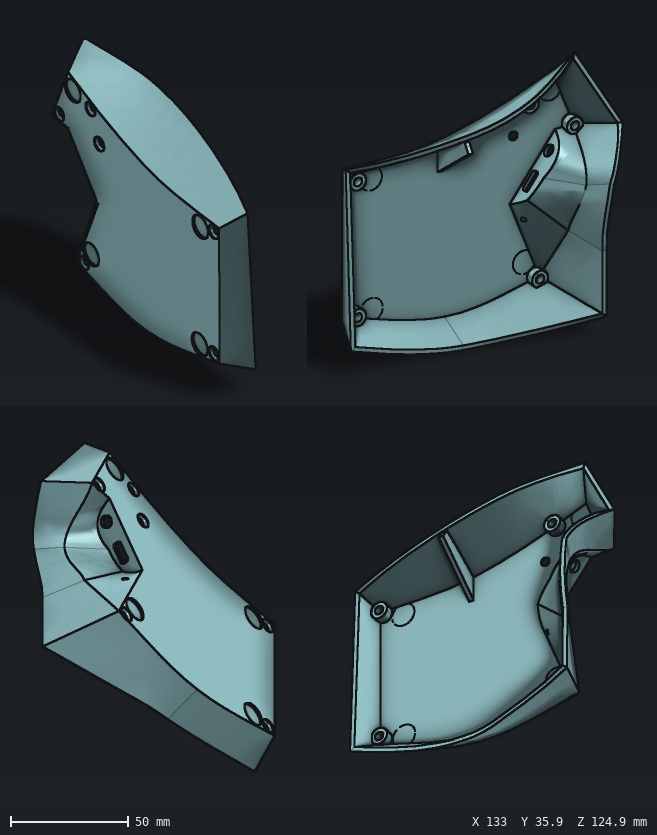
import cadquery as cq
import math


WALL = 2.3

BASE_TOP_LEFT = (22.7, 0, 113.4)
BASE_TOP_RIGHT = (127.9, 0, 90.1)
BASE_LOW_RIGHT = (128.2, 0, 19.5)
BASE_LOW_MIDDLE = (78.6, 0, 8.5)
BASE_LOW_LEFT = (28.6, 0, 17.4)
NOTCH_INNER_LOW = (43.6, 0, 55.7)
NOTCH_INNER_TOP = (22.6, 0, 83.9)
NOTCH_OUTER_TOP = (11.4, 0, 84.7)

RIM_TOP_LEFT = (19.1, 11.3, 124.8)
RIM_TOP_RIGHT = (133, 11.5, 95.8)
RIM_LOW_RIGHT = (133, 16, 12.2)
RIM_LOW_MIDDLE = (77.2, 15.8, 0)
RIM_LOW_LEFT = (15.8, 32.5, 8.2)
RIM_LEFT = (0, 19.1, 90.5)

BASE_TOP = [
    BASE_TOP_LEFT, (37.6, 0, 107.0), (47.6, 0, 103.0), (66.6, 0, 96.6), (86.0, 0, 92.1), (102.4, 0, 90.7),
    BASE_TOP_RIGHT,
]
BASE_RIGHT = [BASE_TOP_RIGHT, BASE_LOW_RIGHT]
BASE_LOW_R = [BASE_LOW_RIGHT, (109.5, 0, 14.2), (93.6, 0, 10.4), BASE_LOW_MIDDLE]
BASE_LOW_L = [BASE_LOW_MIDDLE, (68.6, 0, 8.6), (53.6, 0, 11.0), (40.5, 0, 14.4), BASE_LOW_LEFT]

NOTCH_LOW_SIDE = [BASE_LOW_LEFT, NOTCH_INNER_LOW]
NOTCH_PORT_SIDE = [NOTCH_INNER_LOW, NOTCH_INNER_TOP]
NOTCH_TOP_SIDE = [NOTCH_INNER_TOP, NOTCH_OUTER_TOP]
BASE_UPPER_LEFT = [NOTCH_OUTER_TOP, BASE_TOP_LEFT]

RIM_TOP = [RIM_TOP_LEFT, (31.6, 17.5, 119.9), (44.5, 23.0, 115.1), (67.5, 26.0, 108.0),
           (88.5, 23.9, 103.4), (109.5, 19.4, 99.5), RIM_TOP_RIGHT]
RIM_RIGHT = [RIM_TOP_RIGHT, RIM_LOW_RIGHT]
RIM_LOW_R = [RIM_LOW_RIGHT, (113.5, 15.0, 6.2), (92.5, 15.0, 1.5), RIM_LOW_MIDDLE]
RIM_LOW_L = [RIM_LOW_MIDDLE, (63.5, 17.7, 0.4), (53.6, 20.5, 1.6), (35.6, 25.8, 4.3), RIM_LOW_LEFT]
RIM_BAND_LOW = [RIM_LOW_LEFT, (15.7, 32.3, 39.2)]
RIM_BAND_MIDDLE = [RIM_BAND_LOW[-1], (15.4, 35.1, 60.2), (14.6, 35.8, 67.1), (14.1, 35.9, 71.1)]
RIM_BAND_TOP = [RIM_BAND_MIDDLE[-1], (11.3, 34.0, 76.2), (8.6, 31.1, 80.2), (4.7, 25.9, 85.2), RIM_LEFT]
RIM_UPPER_LEFT = [RIM_LEFT, RIM_TOP_LEFT]

RIDGE_LOW = [BASE_LOW_LEFT, (24.3, 16, 45.2)]
RIDGE_MIDDLE = [RIDGE_LOW[-1], (23.1, 19.7, 54.2), (21.8, 22.7, 61.2), (19.8, 23.4, 67.9)]
RIDGE_TOP = [RIDGE_MIDDLE[-1], (18.1, 19.8, 74.2), (16.1, 12.8, 78.7), NOTCH_OUTER_TOP]


def on_port_face(y, z):
    """Point of the flat port face, which stands square on the base."""
    along = (NOTCH_INNER_TOP[2] - z) / (NOTCH_INNER_TOP[2] - NOTCH_INNER_LOW[2])
    return (NOTCH_INNER_TOP[0] + along * (NOTCH_INNER_LOW[0] - NOTCH_INNER_TOP[0]), y, z)


PORT_EDGE_LOW = [NOTCH_INNER_LOW, on_port_face(4.7, 56.8), on_port_face(9.0, 59.3)]
PORT_EDGE_MIDDLE = [PORT_EDGE_LOW[-1], on_port_face(10.4, 63.8), on_port_face(10.8, 68.7)]
PORT_EDGE_TOP = [PORT_EDGE_MIDDLE[-1], on_port_face(10.6, 78.3), NOTCH_INNER_TOP]

BASE_LOOP = (BASE_TOP[:-1] + BASE_RIGHT[:-1] + BASE_LOW_R[:-1] + BASE_LOW_L
             + [NOTCH_INNER_LOW, NOTCH_INNER_TOP, NOTCH_OUTER_TOP])
RIM_LOOP = (RIM_TOP[:-1] + RIM_RIGHT[:-1] + RIM_LOW_R[:-1] + RIM_LOW_L[:-1] + RIM_BAND_LOW[:-1]
            + RIM_BAND_MIDDLE[:-1] + RIM_BAND_TOP)
RIDGE_LOOP = BASE_LOOP[:-3] + RIDGE_LOW[1:] + RIDGE_MIDDLE[1:] + RIDGE_TOP[1:]
PORT_LOOP = BASE_LOOP[:-2] + PORT_EDGE_LOW[1:] + PORT_EDGE_MIDDLE[1:] + PORT_EDGE_TOP[1:] + [NOTCH_OUTER_TOP]


def inset_map(loop, lift):
    """Map each point of a clockwise closed loop to its place on the inner side of the wall."""
    moved = {}
    for before, here, after in zip(loop[-1:] + loop[:-1], loop, loop[1:] + loop[:1]):
        normals = []
        for start, end in ((before, here), (here, after)):
            dx, dz = end[0] - start[0], end[2] - start[2]
            length = math.hypot(dx, dz)
            normals.append((dz / length, -dx / length))
        (ax, az), (bx, bz) = normals
        miter = WALL / (1 + ax * bx + az * bz)
        moved[here] = (here[0] + miter * (ax + bx), here[1] + lift, here[2] + miter * (az + bz))
    return moved


INNER = {**inset_map(PORT_LOOP, WALL), **inset_map(RIDGE_LOOP, WALL), **inset_map(BASE_LOOP, WALL),
         **inset_map(RIM_LOOP, 0)}


def inner(points):
    return [INNER[point] for point in points]


def outer(points):
    return points


def edge(points):
    vectors = [cq.Vector(*point) for point in points]
    if len(vectors) == 2:
        return cq.Edge.makeLine(*vectors)
    return cq.Edge.makeSpline(vectors)


def ruled(first, second):
    return cq.Face.makeRuledSurface(edge(first), edge(second))


def flat(stretches):
    return cq.Face.makeFromWires(cq.Wire.assembleEdges([edge(points) for points in stretches]))


def skin(place):
    """Faces of one side of the tray: walls, connector recess, port face and floor."""
    walls = [
        (BASE_TOP, RIM_TOP),
        (BASE_RIGHT, RIM_RIGHT),
        (BASE_LOW_R, RIM_LOW_R),
        (BASE_LOW_L, RIM_LOW_L),
        (BASE_UPPER_LEFT, RIM_UPPER_LEFT),
        (RIDGE_LOW, RIM_BAND_LOW),
        (RIDGE_MIDDLE, RIM_BAND_MIDDLE),
        (RIDGE_TOP, RIM_BAND_TOP),
        (PORT_EDGE_LOW, RIDGE_LOW),
        (PORT_EDGE_MIDDLE, RIDGE_MIDDLE),
        (PORT_EDGE_TOP, RIDGE_TOP),
    ]
    port_face = [PORT_EDGE_LOW, PORT_EDGE_MIDDLE, PORT_EDGE_TOP, NOTCH_PORT_SIDE]
    floor = [BASE_TOP, BASE_RIGHT, BASE_LOW_R, BASE_LOW_L,
             NOTCH_LOW_SIDE, NOTCH_PORT_SIDE, NOTCH_TOP_SIDE, BASE_UPPER_LEFT]
    faces = [ruled(place(low), place(high)) for low, high in walls]
    faces.append(flat([place(points) for points in port_face]))
    faces.append(flat([place(points) for points in floor]))
    return faces


def make_tray_shell():
    """Hollow tray: outer skin, inner skin and the strip along the rim that joins them."""
    rim = [RIM_TOP, RIM_RIGHT, RIM_LOW_R, RIM_LOW_L,
           RIM_BAND_LOW, RIM_BAND_MIDDLE, RIM_BAND_TOP, RIM_UPPER_LEFT]
    rim_faces = [ruled(points, inner(points)) for points in rim]
    shell = cq.Shell.makeShell(skin(outer) + skin(inner) + rim_faces)
    return cq.Workplane(cq.Solid.makeSolid(shell).fix())


BOSSED_SCREWS = [(16.4, 87.7), (38.3, 102.6), (123.9, 86.1), (123.9, 22.5), (33.6, 19.7)]
PLAIN_SCREW = (44.3, 87.6)
SCREW_D = 4.0
HEAD_D = 6.6
HEAD_DEPTH = 0.4
BOSS_D = 8.0
BOSS_TOP = 6.6

PADS = [(26.0, 105.4), (114.7, 83.6), (114.3, 22.1), (38.8, 27.0)]
PAD_D = 11.0
PAD_SUNK = 1.0
SEAT_DEPTH = 1.7

JACK_D = 5.5
JACK_CENTRE = on_port_face(6.1, 77.5)
SLOT_LENGTH = 9.7
SLOT_WIDTH = 4.0
SLOT_CORNER = 1.2
SLOT_CENTRE = on_port_face(6.1, 65.3)
RESET_D = 2.0
RESET_CENTRE = (38.3, 5.5, 50.1)
OPENING_REACH = 2.5 * WALL

GUSSET_X = 79.6
GUSSET_THICKNESS = 2.3
GUSSET_FOOT_Y = WALL - 0.3
GUSSET = [(28.2, 97.7), (26.2, 100.5), (25.0, 102.1), (GUSSET_FOOT_Y, 92.8), (GUSSET_FOOT_Y, 79.1)]

INTO_TRAY = cq.Vector(0, 1, 0)


def disc(place, diameter, bottom, top):
    """Round disc square to the base at (x, z), from Y = bottom to Y = top."""
    x, z = place
    return cq.Workplane(cq.Solid.makeCylinder(diameter / 2, top - bottom, cq.Vector(x, bottom, z), INTO_TRAY))


def screw_cutter(place):
    x, z = place
    foot = cq.Vector(x, HEAD_DEPTH, z)
    sink_depth = (HEAD_D - SCREW_D) / 2
    countersink = cq.Workplane(cq.Solid.makeCone(HEAD_D / 2, SCREW_D / 2, sink_depth, foot, INTO_TRAY))
    head = disc(place, HEAD_D, 0, HEAD_DEPTH)
    return disc(place, SCREW_D, 0, BOSS_TOP).union(head).union(countersink)


def opening(centre, side):
    """Workplane at an opening, square to the base, with its X axis along a side of the notch."""
    start, end = side
    along = cq.Vector(end[0] - start[0], 0, end[2] - start[2])
    return cq.Workplane(cq.Plane(origin=centre, xDir=along, normal=along.cross(INTO_TRAY)))


def make_gusset():
    return cq.Workplane("YZ", origin=(GUSSET_X, 0, 0)).polyline(GUSSET).close().extrude(GUSSET_THICKNESS)


def make_jack_cutter():
    return opening(JACK_CENTRE, NOTCH_PORT_SIDE).circle(JACK_D / 2).extrude(OPENING_REACH, both=True)


def make_slot_cutter():
    profile = opening(SLOT_CENTRE, NOTCH_PORT_SIDE).rect(SLOT_LENGTH, SLOT_WIDTH)
    bar = profile.extrude(OPENING_REACH, both=True)
    return bar.edges(cq.selectors.ParallelDirSelector(bar.plane.zDir)).fillet(SLOT_CORNER)


def make_reset_cutter():
    return opening(RESET_CENTRE, NOTCH_LOW_SIDE).circle(RESET_D / 2).extrude(OPENING_REACH, both=True)


def make_tray():
    tray = make_tray_shell().union(make_gusset())
    for screw in BOSSED_SCREWS:
        tray = tray.union(disc(screw, BOSS_D, WALL, BOSS_TOP))
    for screw in [*BOSSED_SCREWS, PLAIN_SCREW]:
        tray = tray.cut(screw_cutter(screw))
    for pad in PADS:
        tray = tray.cut(disc(pad, PAD_D, 0, SEAT_DEPTH))
    for cutter in (make_jack_cutter(), make_slot_cutter(), make_reset_cutter()):
        tray = tray.cut(cutter)
    return tray


def make_pad(place):
    return disc(place, PAD_D, PAD_SUNK, SEAT_DEPTH)


tray = make_tray()
pads = [make_pad(place) for place in PADS]
result = cq.Compound.makeCompound([tray.val(), *[pad.val() for pad in pads]])